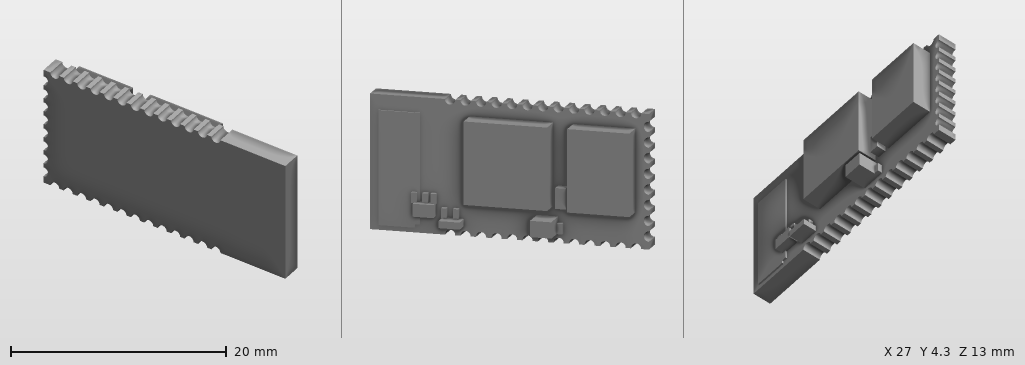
import cadquery as cq


board_length = 27.0
board_height = 13.0
board_thickness = 2.0

notch_diameter = 1.0
pitches_per_board_length = 18
notch_pitch = board_length / pitches_per_board_length
long_edge_notches = 13
short_edge_notches = 8
first_notch = (board_height - (short_edge_notches - 1) * notch_pitch) / 2

module_rise = 2.0
module_bottom = 3.5
module_height = 8.0
left_module_x = 1.3
left_module_width = 6.02
right_module_x = 9.25
right_module_width = 8.07

tall_x = 8.78
tall_width = 2.05
tall_rise = 2.3
tall_bottom = 0.97
tall_height = 1.57

low_width = 1.0
low_height = 2.0
low_rise = 1.0

chip_width = 0.5
chip_height = 1.0
chip_rise = 0.5

middle_x = 17.87
middle_width = 2.05
middle_rise = 1.48
middle_chip_bottom = 1.65
middle_chip_xs = (18.3, 19.47)

right_x = 20.57
right_width = 2.0
right_rise = 1.0
right_bottom = 1.75
right_top = 3.0
right_chip_bottom = 2.95
right_chip_xs = (20.5, 21.28, 22.35)

antenna_x = 22.15
antenna_width = 4.0
antenna_rise = 0.15
antenna_bottom = 0.8
antenna_step_bottom = 0.49
antenna_step_inset = 0.49


def make_board():
    board = cq.Workplane("XY").box(board_length, board_thickness, board_height, centered=False)
    long_edge = [first_notch + i * notch_pitch for i in range(long_edge_notches)]
    short_edge = [first_notch + i * notch_pitch for i in range(short_edge_notches)]
    centres = [(x, z) for x in long_edge for z in (0, board_height)]
    centres += [(0, z) for z in short_edge]
    cutters = cq.Workplane("XZ").pushPoints(centres).circle(notch_diameter / 2).extrude(-board_thickness)
    return board.cut(cutters)


def block(x, z, width, height, rise):
    """Rectangular component with its lower left corner at (x, z), rising off the board in Y.

    It starts inside the board so that it joins firmly.
    """
    root = board_thickness / 2
    body = cq.Workplane("XY").box(width, root + rise, height, centered=False)
    return body.translate((x, board_thickness - root, z))


def chip(x, z):
    return block(x, z, chip_width, chip_height, chip_rise)


def make_modules():
    left = block(left_module_x, module_bottom, left_module_width, module_height, module_rise)
    right = block(right_module_x, module_bottom, right_module_width, module_height, module_rise)
    return [left, right]


def make_tall_group():
    tall = block(tall_x, tall_bottom, tall_width, tall_height, tall_rise)
    low = block(tall_x - low_width, module_bottom, low_width, low_height, low_rise)
    return [tall, low, chip(tall_x - chip_width, tall_bottom)]


def make_middle_group():
    body_height = middle_chip_bottom - tall_bottom
    body = block(middle_x, tall_bottom, middle_width, body_height, middle_rise)
    return [body] + [chip(x, middle_chip_bottom) for x in middle_chip_xs]


def make_right_group():
    body = block(right_x, right_bottom, right_width, right_top - right_bottom, right_rise)
    return [body] + [chip(x, right_chip_bottom) for x in right_chip_xs]


def make_antenna():
    patch_height = module_bottom + module_height - antenna_bottom
    patch = block(antenna_x, antenna_bottom, antenna_width, patch_height, antenna_rise)
    step = block(
        antenna_x + antenna_step_inset,
        antenna_step_bottom,
        antenna_width - antenna_step_inset,
        antenna_bottom - antenna_step_bottom,
        antenna_rise,
    )
    return [patch, step]


components = make_modules() + make_tall_group() + make_middle_group() + make_right_group() + make_antenna()

result = make_board()
for component in components:
    result = result.union(component)